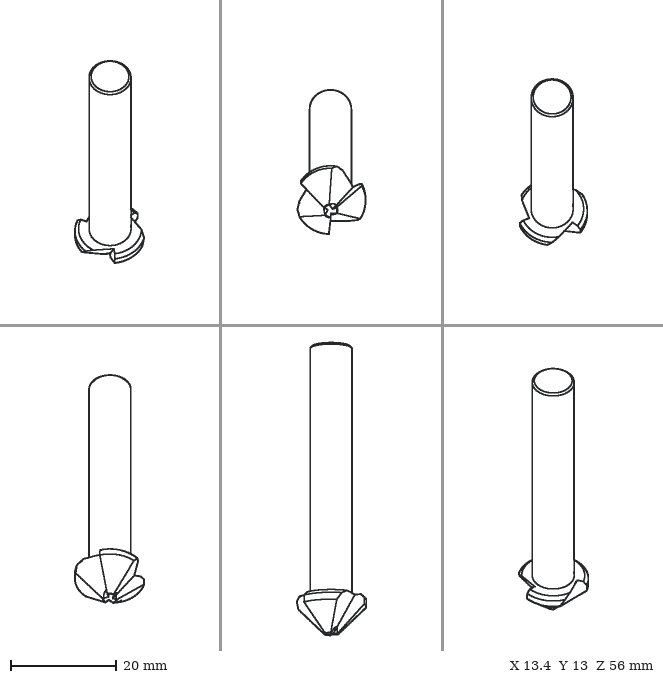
import cadquery as cq
import math

total_length = 56.0
head_height = 7.35
flute_count = 3

shank_radius = 4.0
shank_chamfer = 0.4
core_radius = 1.25

head_radius = 6.7
tip_radius = 1.4
cone_height = head_radius - tip_radius
head_chamfer = 0.7

floor_depth_at_tip = 0.5
floor_depth_at_back = 4.8
corner_offset_at_tip = 0.08
corner_offset_at_back = -0.34
rake_angle = 2.0
cutter_reach = 2 * head_radius


def flute_section(floor_depth, corner_offset, z):
    """Horizontal section of the flute that opens toward -X, at height z."""
    outer_x = -floor_depth - cutter_reach
    rake_drop = cutter_reach * math.tan(math.radians(rake_angle))
    corners = [
        (-floor_depth, corner_offset, z),
        (-floor_depth, cutter_reach, z),
        (outer_x, cutter_reach, z),
        (outer_x, corner_offset - rake_drop, z),
    ]
    return cq.Wire.makePolygon([cq.Vector(*corner) for corner in corners], close=True)


def make_flute(angle):
    """Wedge of material removed by one flute, turned about the tool axis."""
    tip_section = flute_section(floor_depth_at_tip, corner_offset_at_tip, 0)
    back_section = flute_section(floor_depth_at_back, corner_offset_at_back, head_height)
    wedge = cq.Solid.makeLoft([tip_section, back_section], True)
    return cq.Workplane(obj=wedge.rotate(cq.Vector(0, 0, 0), cq.Vector(0, 0, 1), angle))


def cut_flutes(body):
    for index in range(flute_count):
        body = body.cut(make_flute(index * 360 / flute_count))
    return body


def make_head():
    """Fluted cutting head with a bore for the core of the shank."""
    blank = (
        cq.Workplane("XZ")
        .moveTo(core_radius, 0)
        .lineTo(tip_radius, 0)
        .lineTo(head_radius, cone_height)
        .lineTo(head_radius, head_height - head_chamfer)
        .lineTo(head_radius - head_chamfer, head_height)
        .lineTo(core_radius, head_height)
        .close()
        .revolve(360, (0, 0, 0), (0, 1, 0))
    )
    return cut_flutes(blank)


def make_shank():
    """Plain shank on the back of the head, its core reaching the tip through the head."""
    core = cut_flutes(cq.Workplane("XY").circle(core_radius).extrude(head_height))
    shaft = (
        cq.Workplane("XY")
        .workplane(offset=head_height)
        .circle(shank_radius)
        .extrude(total_length - head_height)
        .faces(">Z")
        .chamfer(shank_chamfer)
    )
    return shaft.union(core)


head = make_head()
shank = make_shank()

result = cq.Compound.makeCompound([head.solids().val(), shank.solids().val()])